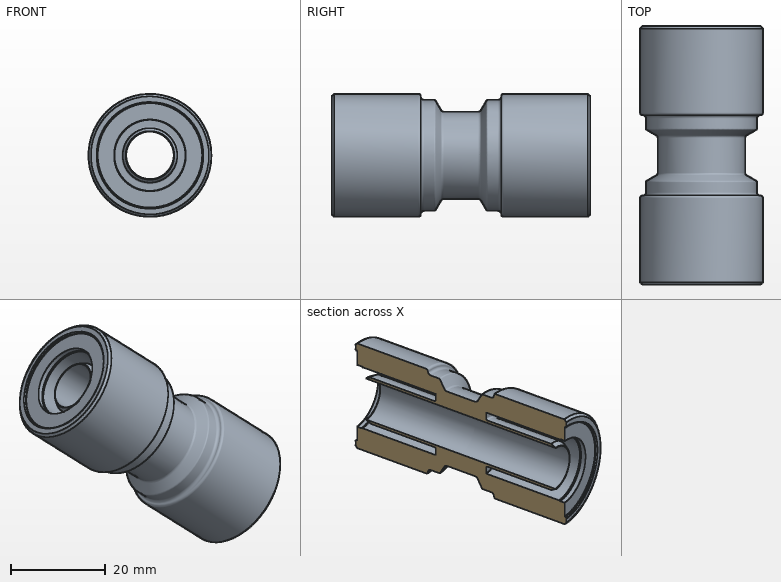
import cadquery as cq
import math

half_length = 27.3

cap_radius = 13.0
cap_depth = 18.85
cap_chamfer = 0.55
shoulder_radius = 11.75
shoulder_depth = 21.85
neck_radius = 18.5 / 2
cone_angle = math.radians(60)
cap_back_fillet = 0.55
cap_root_fillet = 0.65
shoulder_fillet = 0.4
neck_fillet = 0.5

recess_radius = 22.0 / 2
recess_depth = 0.5
recess_chamfer = 0.3
collet_radius = 15.2 / 2
collet_depth = 1.65
socket_radius = 7.5
socket_lead_in = 0.3
socket_depth = 20.75

bore_radius = 10.0 / 2
spigot_tip_radius = 5.15
spigot_radius = 11.5 / 2
spigot_tip_depth = 2.85
spigot_nose_length = 1.1
spigot_root_fillet = 0.4


def revolve_profile(points):
    """Revolve (radius, depth) points about the Y axis, with depth 0 on the -Y end face."""
    outline = [(radius, depth - half_length) for radius, depth in points]
    return cq.Workplane("XY").polyline(outline).close().revolve(360, (0, 0), (0, 1))


def fillet_ring(body, radius, depth, size):
    """Round the circular edge that has the given radius and depth."""
    tolerance = 0.005
    y = depth - half_length

    def is_ring(edge):
        return (
            edge.geomType() == "CIRCLE"
            and abs(edge.radius() - radius) < tolerance
            and abs(edge.Center().y - y) < tolerance
        )

    return body.edges().filter(is_ring).fillet(size)


def outer_half():
    neck_start = shoulder_depth + (shoulder_radius - neck_radius) / math.tan(cone_angle)
    body = revolve_profile([
        (0, 0),
        (cap_radius - cap_chamfer, 0),
        (cap_radius, cap_chamfer),
        (cap_radius, cap_depth),
        (shoulder_radius, cap_depth),
        (shoulder_radius, shoulder_depth),
        (neck_radius, neck_start),
        (neck_radius, half_length),
        (0, half_length),
    ])
    body = fillet_ring(body, cap_radius, cap_depth, cap_back_fillet)
    body = fillet_ring(body, shoulder_radius, cap_depth, cap_root_fillet)
    body = fillet_ring(body, shoulder_radius, shoulder_depth, shoulder_fillet)
    return fillet_ring(body, neck_radius, neck_start, neck_fillet)


def socket():
    """Space around the spigot, open at the end face."""
    space = revolve_profile([
        (0, 0),
        (recess_radius + recess_chamfer, 0),
        (recess_radius, recess_chamfer),
        (recess_radius, recess_depth),
        (collet_radius, recess_depth),
        (collet_radius, collet_depth),
        (socket_radius, collet_depth + socket_lead_in),
        (socket_radius, socket_depth),
        (spigot_radius, socket_depth),
        (spigot_radius, spigot_tip_depth + spigot_nose_length),
        (spigot_tip_radius, spigot_tip_depth),
        (0, spigot_tip_depth),
    ])
    return fillet_ring(space, spigot_radius, socket_depth, spigot_root_fillet)


def bore():
    return revolve_profile([(0, 0), (bore_radius, 0), (bore_radius, half_length), (0, half_length)])


half = outer_half().cut(socket()).cut(bore())
result = half.union(half.mirror("XZ"))